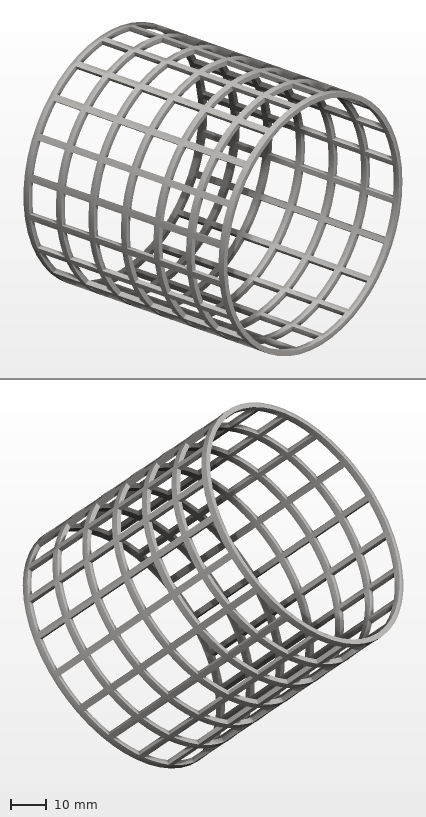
import cadquery as cq

length = 74.0
outer_diameter = 76.75
inner_diameter = 73.75
strip_width = 2.0
window_columns = 6
windows_around = 20

ring_pitch = (length - strip_width) / window_columns
window_size = ring_pitch - strip_width
window_angle = 360 / windows_around


def make_tube():
    """Plain tube centred on the origin with its axis along X."""
    return (
        cq.Workplane("YZ", origin=(-length / 2, 0, 0))
        .circle(outer_diameter / 2)
        .circle(inner_diameter / 2)
        .extrude(length)
    )


def make_window_row():
    """One row of square cutters reaching from the tube axis up through the wall."""
    return (
        cq.Workplane("XY")
        .rarray(ring_pitch, 0.8, window_columns, 1)
        .rect(window_size, window_size)
        .extrude(outer_diameter / 2)
    )


window_row = make_window_row()
result = make_tube()
for index in range(windows_around):
    turn = index * window_angle
    result = result.cut(window_row.rotate((0, 0, 0), (1, 0, 0), turn))